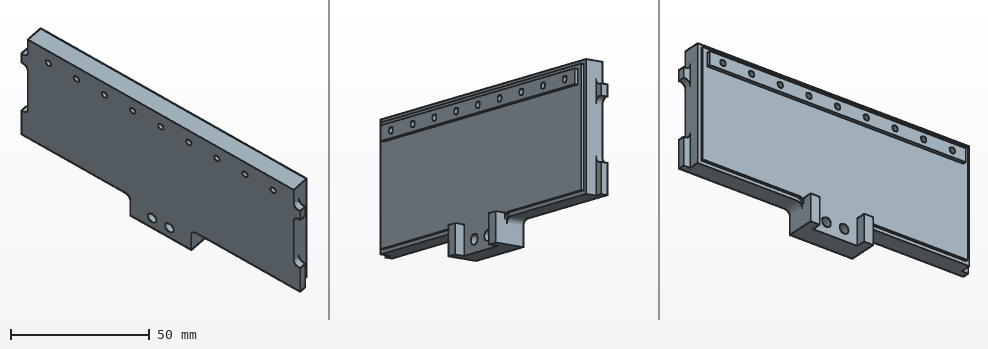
import cadquery as cq

overall_width = 129.0
overall_depth = 12.5
overall_height = 60.0

ear_depth = 3.0
body_depth = 7.5
plate_depth = 8.5
rail_depth = 9.9

body_width = 123.1
body_bottom = 10.0
foot_width = 28.4
foot_fillet = 2.3

plate_inset = 1.5
plate_width = body_width - 2 * plate_inset
plate_top = overall_height - plate_inset
plate_bottom = body_bottom + plate_inset

prong_width = 4.1

upper_ear_top = 51.1
upper_ear_bottom = 46.6
lower_ear_top = 22.0
upper_ear_top_fillet = 2.0
ear_fillet = 2.5

pin_hole_count = 9
pin_row_length = 104.0
pin_hole_pitch = pin_row_length / (pin_hole_count - 1)
pin_hole_diameter = 2.5
pin_hole_height = 53.9
rail_width = 116.0
rail_height = 5.8

foot_hole_spacing = 8.0
foot_hole_diameter = 4.0
foot_hole_height = 5.0


def block(x_min, x_max, z_min, z_max, y_min, y_max):
    """Box given by its limits along each axis."""
    size = (x_max - x_min, y_max - y_min, z_max - z_min)
    return cq.Workplane("XY").box(*size, centered=False).translate((x_min, y_min, z_min))


def corner_fillet(corner_x, corner_z, x_side, z_side, radius, depth):
    """Concave fillet for an inside corner; the sides (+1 or -1) point into the open space."""
    x_end = corner_x + x_side * radius
    z_end = corner_z + z_side * radius
    x_min = min(corner_x, x_end)
    x_max = max(corner_x, x_end)
    z_min = min(corner_z, z_end)
    z_max = max(corner_z, z_end)
    square = block(x_min, x_max, z_min, z_max, 0, depth)
    return square.cut(holes([(x_end, z_end)], 2 * radius))


def holes(centres, diameter):
    """Round cutters along Y through the whole depth, at (x, z) centres."""
    cutters = cq.Workplane("XZ").pushPoints(centres).circle(diameter / 2)
    return cutters.extrude(-overall_depth)


def footed_layer(width, bottom, top, depth):
    """Rectangular layer standing on the foot, with fillets where the two meet."""
    layer = block(-width / 2, width / 2, bottom, top, 0, depth)
    layer = layer.union(block(-foot_width / 2, foot_width / 2, 0, top, 0, depth))
    for side in (-1, 1):
        layer = layer.union(corner_fillet(side * foot_width / 2, bottom, side, -1, foot_fillet, depth))
    return layer


def side_ears(side):
    """Upper and lower ear on one side, blended into the body edge."""
    edge = side * body_width / 2
    tip = side * overall_width / 2
    x_min = min(edge, tip)
    x_max = max(edge, tip)
    ears = block(x_min, x_max, upper_ear_bottom, upper_ear_top, 0, ear_depth)
    ears = ears.union(block(x_min, x_max, body_bottom, lower_ear_top, 0, ear_depth))
    ears = ears.union(corner_fillet(edge, upper_ear_top, side, 1, upper_ear_top_fillet, ear_depth))
    ears = ears.union(corner_fillet(edge, upper_ear_bottom, side, -1, ear_fillet, ear_depth))
    return ears.union(corner_fillet(edge, lower_ear_top, side, 1, ear_fillet, ear_depth))


def foot_prong(side):
    """Prong at one end of the foot, reaching to the full depth."""
    outer = side * foot_width / 2
    inner = outer - side * prong_width
    return block(min(outer, inner), max(outer, inner), 0, plate_bottom, 0, overall_depth)


result = footed_layer(body_width, body_bottom, overall_height, body_depth)
result = result.union(footed_layer(plate_width, plate_bottom, plate_top, plate_depth))
rail_bottom = pin_hole_height - rail_height / 2
rail_top = pin_hole_height + rail_height / 2
result = result.union(block(-rail_width / 2, rail_width / 2, rail_bottom, rail_top, 0, rail_depth))

for side in (-1, 1):
    result = result.union(side_ears(side))
    result = result.union(foot_prong(side))

first_pin_x = -pin_row_length / 2
pin_centres = [(first_pin_x + i * pin_hole_pitch, pin_hole_height) for i in range(pin_hole_count)]
foot_centres = [(side * foot_hole_spacing / 2, foot_hole_height) for side in (-1, 1)]
result = result.cut(holes(pin_centres, pin_hole_diameter))
result = result.cut(holes(foot_centres, foot_hole_diameter))